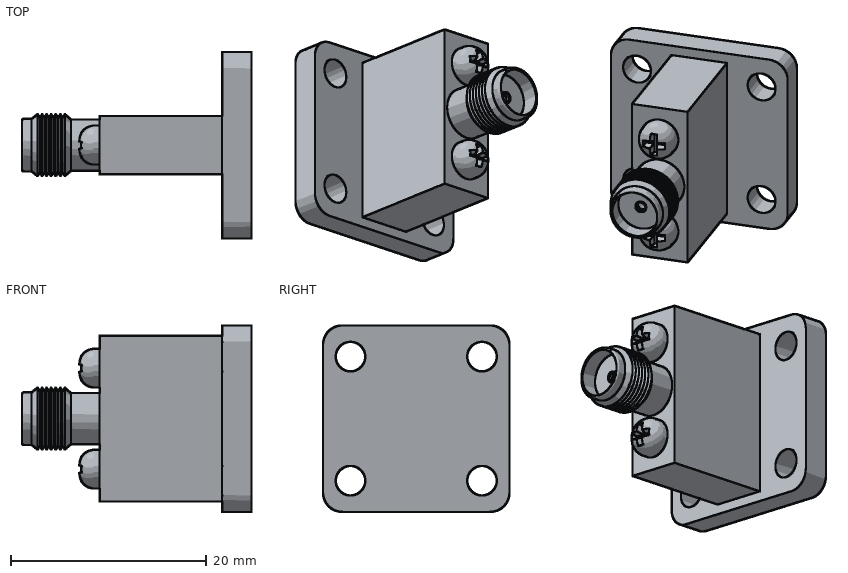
import cadquery as cq
import math


overall_length = 23.5
flange_thickness = 3.0
body_length = 11.0
cover_thickness = 1.54
flange_front = overall_length - flange_thickness
body_front = flange_front - body_length
cover_front = body_front - cover_thickness

flange_side = 19.11
flange_corner_radius = 2.0
flange_hole_diameter = 3.0
flange_hole_pitch_y = 13.46
flange_hole_pitch_z = 12.7

body_width = 6.0
body_height = 17.0

mouth_diameter = 5.41
mouth_length = 1.0
mouth_edge_radius = 0.21
barrel_diameter = 5.29
barrel_start = 5.0
thread_diameter = 6.35
thread_root_diameter = 5.6
thread_start = 1.6
thread_pitch = 0.465
thread_crests = 7
bore_diameter = 4.84
bore_depth = 1.85
socket_mouth_diameter = 1.14
socket_mouth_depth = 0.1
socket_diameter = 0.95
socket_depth = 0.5
socket_tip_angle = 150.0

screw_offset = 5.17
head_diameter = 4.0
head_height = 2.1
head_edge_radius = 1.54
recess_length = 2.47
recess_width = 0.78
recess_floor_length = 2.1
recess_floor_width = 0.25
recess_depth = 0.75


def x_box(start, length, width, height):
    """Block centred on the X axis, running from start along +X."""
    return cq.Workplane("YZ", origin=(start, 0, 0)).rect(width, height).extrude(length)


def revolve_about_x(profile):
    """Full turn of an (X, radius) profile about the X axis."""
    return profile.close().revolve(360, (0, 0, 0), (1, 0, 0))


def make_flange():
    flange = x_box(flange_front, flange_thickness, flange_side, flange_side)
    flange = flange.edges("|X").fillet(flange_corner_radius)
    holes = (
        cq.Workplane("YZ", origin=(flange_front, 0, 0))
        .rect(flange_hole_pitch_y, flange_hole_pitch_z, forConstruction=True)
        .vertices()
        .circle(flange_hole_diameter / 2)
        .extrude(flange_thickness)
    )
    return flange.cut(holes)


def make_connector():
    mouth_radius = mouth_diameter / 2
    crest_radius = thread_diameter / 2
    root_radius = thread_root_diameter / 2
    barrel_radius = barrel_diameter / 2

    profile = cq.Workplane("XY").moveTo(0, 0).lineTo(0, mouth_radius - mouth_edge_radius)
    profile = profile.radiusArc((mouth_edge_radius, mouth_radius), mouth_edge_radius)
    profile = profile.lineTo(mouth_length, mouth_radius).lineTo(thread_start, crest_radius)
    for crest in range(1, thread_crests):
        crest_x = thread_start + crest * thread_pitch
        profile = profile.lineTo(crest_x - thread_pitch / 2, root_radius).lineTo(crest_x, crest_radius)
    profile = profile.lineTo(barrel_start, barrel_radius).lineTo(cover_front, barrel_radius)
    profile = profile.lineTo(cover_front, 0)
    return revolve_about_x(profile).cut(make_bore())


def make_bore():
    """Mouth bore with a stepped, cone-ended contact socket in its floor."""
    bore_radius = bore_diameter / 2
    socket_mouth_radius = socket_mouth_diameter / 2
    socket_radius = socket_diameter / 2
    step_x = bore_depth + socket_mouth_depth
    socket_end = bore_depth + socket_depth
    tip_x = socket_end + socket_radius / math.tan(math.radians(socket_tip_angle / 2))

    profile = (
        cq.Workplane("XY")
        .moveTo(0, 0)
        .lineTo(0, bore_radius)
        .lineTo(bore_depth, bore_radius)
        .lineTo(bore_depth, socket_mouth_radius)
        .lineTo(step_x, socket_mouth_radius)
        .lineTo(step_x, socket_radius)
        .lineTo(socket_end, socket_radius)
        .lineTo(tip_x, 0)
    )
    return revolve_about_x(profile)


def recess_arm(head_top, quarter_turn):
    """Tapered slot forming one bar of the cross recess, narrowing toward its floor."""
    arm = (
        cq.Workplane("YZ", origin=(head_top, 0, 0))
        .rect(recess_length, recess_width)
        .workplane(offset=recess_depth)
        .rect(recess_floor_length, recess_floor_width)
        .loft()
    )
    return arm.rotate((0, 0, 0), (1, 0, 0), 90 * quarter_turn)


def make_screw_head():
    head_top = cover_front - head_height
    head_radius = head_diameter / 2
    profile = (
        cq.Workplane("XY")
        .moveTo(head_top, 0)
        .lineTo(head_top, head_radius - head_edge_radius)
        .radiusArc((head_top + head_edge_radius, head_radius), head_edge_radius)
        .lineTo(cover_front, head_radius)
        .lineTo(cover_front, 0)
    )
    head = revolve_about_x(profile)
    for quarter_turn in range(2):
        head = head.cut(recess_arm(head_top, quarter_turn))
    return head


body = x_box(body_front, body_length, body_width, body_height)
cover = x_box(cover_front, cover_thickness, body_width, body_height)

result = make_flange().union(body)
result = result.union(cover, clean=False)
result = result.union(make_connector(), clean=False)
for side in (-1, 1):
    screw_head = make_screw_head().translate((0, 0, side * screw_offset))
    result = result.union(screw_head, clean=False)